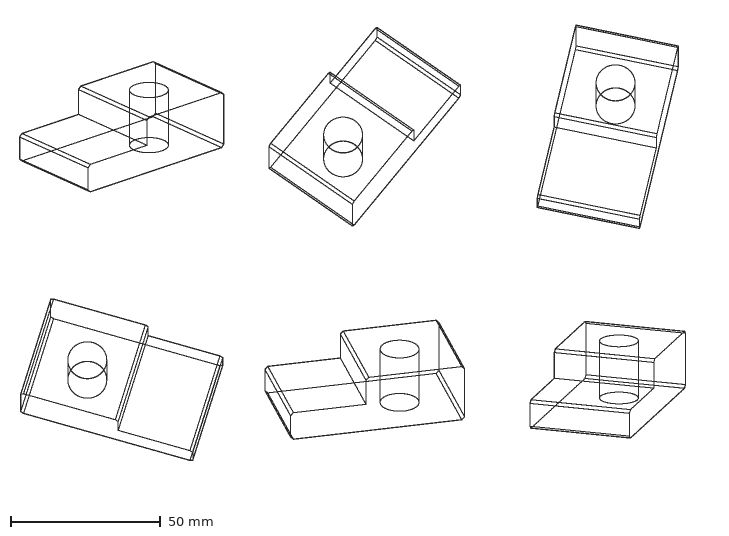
import cadquery as cq

width = 35.0
length = 60.0
height = 20.0
block_length = 34.0
tongue_height = 10.0
chamfer = 1.0
hole_diameter = 13.0
hole_to_back = 18.0

step_y = length - block_length


def stepped_body():
    """Side profile in the YZ plane, extruded across the width."""
    profile = (
        cq.Workplane("YZ")
        .moveTo(chamfer, 0)
        .lineTo(length - chamfer, 0)
        .lineTo(length, chamfer)
        .lineTo(length, height - chamfer)
        .lineTo(length - chamfer, height)
        .lineTo(step_y + chamfer, height)
        .lineTo(step_y, height - chamfer)
        .lineTo(step_y, tongue_height)
        .lineTo(chamfer, tongue_height)
        .lineTo(0, tongue_height - chamfer)
        .lineTo(0, chamfer)
        .close()
    )
    return profile.extrude(width)


def through_hole():
    """Vertical cylinder through the thick block, centred across the width."""
    return (
        cq.Workplane("XY")
        .center(width / 2, length - hole_to_back)
        .circle(hole_diameter / 2)
        .extrude(height)
    )


result = stepped_body().cut(through_hole())